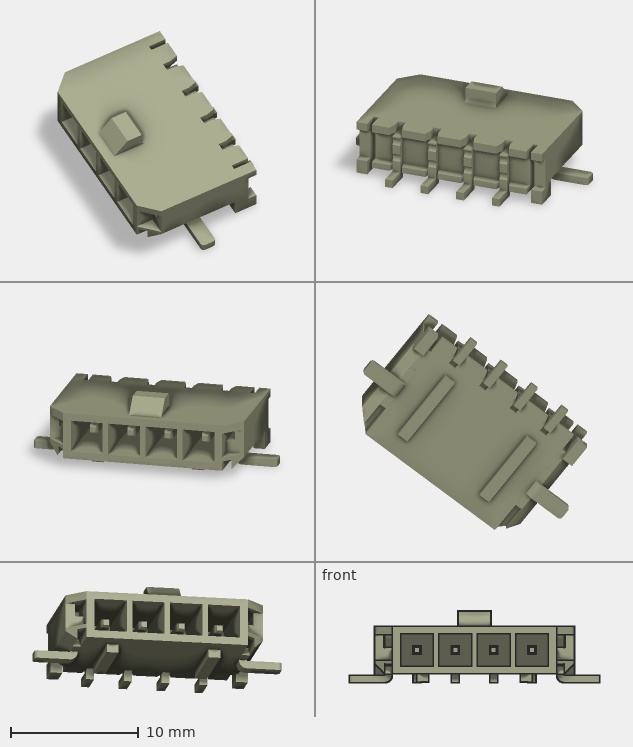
import cadquery as cq
import math

pin_count = 4
pin_pitch = 3.0
pin_size = 0.65
pin_axis_z = 2.57

body_half_width = 7.85
body_depth = 9.9
body_bottom = 0.7
body_top = 4.45
standoff_bottom = 0.05
corner_cut = 1.41
nose_half_width = body_half_width - corner_cut

cavity_size = 2.55
cavity_depth = 7.47

pocket_floor = 1.79
pocket_roof = 3.77
channel_floor = 2.77
channel_width = 0.69

tab_sheet = 0.6
groove_top = 1.47
tab_leg_outer = nose_half_width + tab_sheet
side_chamfer = body_half_width - tab_leg_outer

rear_recess_depth = 0.7
rear_recess_bottom = 1.2
rear_recess_top = 3.8
foot_front = 8.02
rear_slot_inner = 6.52
rear_slot_outer = 6.92
rear_slot_depth = 1.47

notch_depth = 1.35
notch_flare_depth = 0.7
notch_flare = 0.22

rib_inner = 3.58
rib_width = 0.95
rib_front = 1.69
rib_back = 7.7

latch_width = 2.6
latch_top = 5.64
latch_front = 0.8
latch_back = 3.26
latch_heel_radius = 0.3

tab_tip = 9.82
tab_centre_y = 4.6
tab_foot_width = 1.24
tab_tip_radius = 0.28
tab_leg_width = 2.52
tab_shoulder = 0.69
tab_shoulder_bottom = 0.67
tab_top_radius = 0.3

pin_tip_y = 1.96
pin_tip_size = 0.43
pin_taper = 0.4
pin_rear = 11.35
pin_back_face = 9.79
pin_head_top = 3.67
scallop_radius = 0.8 / 2
scallop_offset = 0.69
scallop_depth = 0.14

pin_positions = [(i - (pin_count - 1) / 2) * pin_pitch for i in range(pin_count)]


def box(x0, x1, y0, y1, z0, z1):
    """Axis-aligned block between two opposite corners."""
    return cq.Workplane("XY").box(x1 - x0, y1 - y0, z1 - z0, centered=False).translate((x0, y0, z0))


def extrude_x(points, x0, x1):
    """Closed (y, z) outline extruded from x0 to x1."""
    return cq.Workplane("YZ").workplane(offset=x0).polyline(points).close().extrude(x1 - x0)


def mirrored(shape):
    """The shape together with its copy on the other side of X = 0."""
    return shape.union(shape.mirror("YZ"))


def make_pin(x):
    half = pin_size / 2
    stem_front = pin_back_face - pin_size
    head_front = body_depth - notch_depth
    head_bottom = 2 * pin_axis_z - pin_head_top
    left, right = x - half, x + half

    taper = (
        cq.Workplane("XZ", origin=(x, pin_tip_y, pin_axis_z))
        .rect(pin_tip_size, pin_tip_size)
        .workplane(offset=-pin_taper)
        .rect(pin_size, pin_size)
        .loft(ruled=True)
    )
    blade = box(left, right, pin_tip_y + pin_taper, pin_back_face, pin_axis_z - half, pin_axis_z + half)
    head = box(left, right, head_front, pin_back_face, head_bottom, pin_head_top)
    stem = box(left, right, stem_front, pin_back_face, 0, pin_head_top)
    foot = box(left, right, stem_front, pin_rear, 0, pin_size)
    pin = taper.union(blade).union(head).union(stem).union(foot)

    scallop_y = pin_back_face + scallop_radius - scallop_depth
    for z in (pin_axis_z - scallop_offset, pin_axis_z + scallop_offset):
        scallop = cq.Workplane("YZ", origin=(left, scallop_y, z)).circle(scallop_radius).extrude(pin_size)
        pin = pin.cut(scallop)
    return pin


def make_left_tab():
    leg_outer, leg_inner = -tab_leg_outer, -nose_half_width
    half_leg = tab_leg_width / 2
    half_base = half_leg + tab_shoulder
    shoulder_top = tab_shoulder_bottom + tab_shoulder
    outline = [
        (tab_centre_y - half_base, tab_shoulder_bottom),
        (tab_centre_y - half_leg, shoulder_top),
        (tab_centre_y - half_leg, pocket_roof),
        (tab_centre_y + half_leg, pocket_roof),
        (tab_centre_y + half_leg, shoulder_top),
        (tab_centre_y + half_base, tab_shoulder_bottom),
    ]
    leg = extrude_x(outline, leg_outer, leg_inner)
    leg = leg.edges("|X and >Z").fillet(tab_top_radius)

    foot_y0 = tab_centre_y - tab_foot_width / 2
    foot_y1 = tab_centre_y + tab_foot_width / 2
    foot = box(-tab_tip, leg_inner, foot_y0, foot_y1, 0, tab_sheet)
    foot = foot.edges("|Z and <X").fillet(tab_tip_radius)
    neck = box(leg_outer, leg_inner, foot_y0, foot_y1, 0, tab_shoulder_bottom)
    foot = foot.union(neck).edges("|Y and >X and <Z").fillet(tab_sheet)
    return foot.union(leg)


def make_latch():
    rise = latch_top - body_top
    heel_y = latch_back + latch_heel_radius
    heel_z = body_top + latch_heel_radius
    arc_offset = latch_heel_radius * math.sqrt(0.5)
    return (
        cq.Workplane("YZ")
        .moveTo(latch_front, body_top)
        .lineTo(latch_front + rise, latch_top)
        .lineTo(latch_back, latch_top)
        .lineTo(latch_back, heel_z)
        .threePointArc((heel_y - arc_offset, heel_z - arc_offset), (heel_y, body_top))
        .close()
        .extrude(latch_width / 2, both=True)
    )


def make_shell():
    shell = box(-body_half_width, body_half_width, 0, body_depth, body_bottom, body_top)
    shell = shell.edges("|Z and <Y").chamfer(corner_cut)
    side_bevel = (
        cq.Workplane("XZ", origin=(0, 0, body_bottom))
        .polyline([(-body_half_width, 0), (-tab_leg_outer, 0), (-body_half_width, side_chamfer)])
        .close()
        .extrude(-foot_front)
    )
    foot = box(-body_half_width, -rear_slot_outer, foot_front, body_depth, standoff_bottom, body_bottom)
    rib = box(-rib_inner - rib_width, -rib_inner, rib_front, rib_back, standoff_bottom, body_bottom)
    return shell.cut(mirrored(side_bevel)).union(mirrored(foot)).union(mirrored(rib))


def make_side_cuts():
    """Corner pocket, tab passages and rear slot of both sides."""
    leg_back = tab_centre_y + tab_leg_width / 2
    base_back = leg_back + tab_shoulder
    wall = -nose_half_width
    pocket = box(-body_half_width, wall, 0, corner_cut, pocket_floor, pocket_roof)
    channel = box(wall - channel_width, wall, corner_cut, leg_back, channel_floor, pocket_roof)
    groove = box(-tab_leg_outer, wall, 0, base_back, body_bottom, groove_top)
    leg_slot = box(-tab_leg_outer, wall, leg_back - tab_leg_width, leg_back, groove_top, pocket_roof)
    rear_slot = box(
        -rear_slot_outer, -rear_slot_inner, body_depth - rear_slot_depth, body_depth, body_bottom, body_top
    )
    return mirrored(pocket.union(channel).union(groove).union(leg_slot).union(rear_slot))


def make_pin_notch(x):
    """Rear notch around a pin, flared at its mouth."""
    half = pin_size / 2
    mouth = half + notch_flare
    flare_start = body_depth - notch_flare_depth
    bottom = body_depth - notch_depth
    return (
        cq.Workplane("XY", origin=(x, 0, body_bottom))
        .moveTo(-mouth, body_depth)
        .lineTo(-half, flare_start)
        .lineTo(-half, bottom)
        .lineTo(half, bottom)
        .lineTo(half, flare_start)
        .lineTo(mouth, body_depth)
        .close()
        .extrude(body_top - body_bottom)
    )


def make_cavity(x):
    half = cavity_size / 2
    return box(x - half, x + half, 0, cavity_depth, pin_axis_z - half, pin_axis_z + half)


def make_housing(pins):
    housing = make_shell().union(make_latch()).cut(make_side_cuts())
    rear_recess = box(
        -body_half_width, body_half_width, body_depth - rear_recess_depth, body_depth,
        rear_recess_bottom, rear_recess_top,
    )
    housing = housing.cut(rear_recess)
    for x, pin in zip(pin_positions, pins):
        housing = housing.cut(make_cavity(x)).cut(make_pin_notch(x)).cut(pin)
    return housing


pins = [make_pin(x) for x in pin_positions]
left_tab = make_left_tab()
tabs = [left_tab, left_tab.mirror("YZ")]
housing = make_housing(pins)

result = cq.Compound.makeCompound(
    [
        housing.solids().val(),
        *[pin.solids().val() for pin in pins],
        *[tab.solids().val() for tab in tabs],
    ]
)